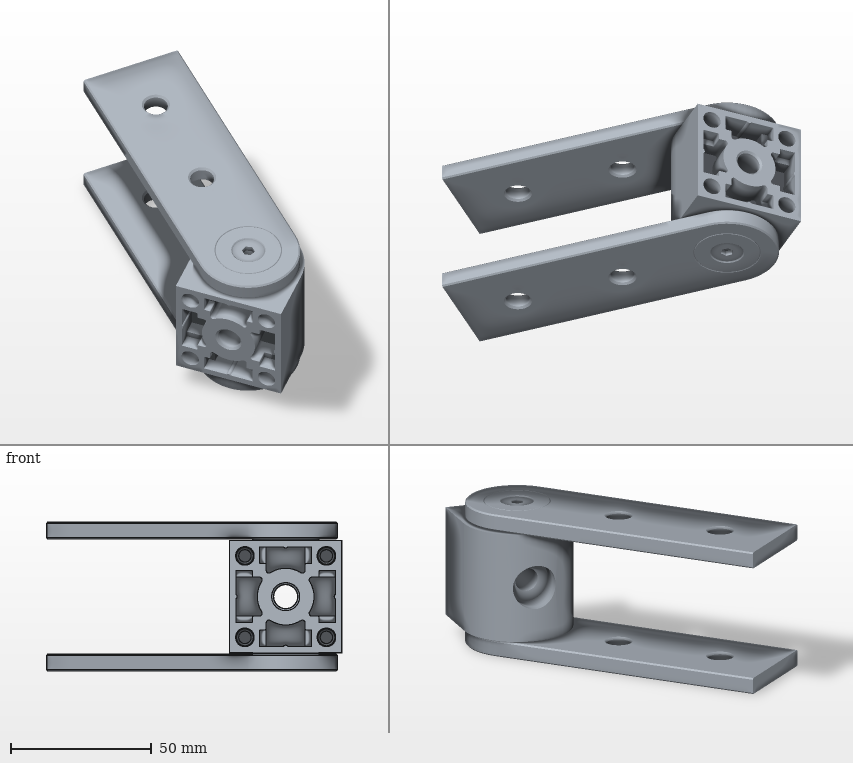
import cadquery as cq
import math


block_width = 40.0
overall_height = 52.8
plate_thickness = 6.0
block_half = block_width / 2
plate_top = overall_height / 2
plate_bottom = plate_top - plate_thickness
arm_angle = 135

plate_width = 36.9
plate_half_width = plate_width / 2
plate_reach = 101.6
plate_chamfer = 0.5
arm_hole_spacing = block_width
arm_hole_count = 2

bolt_bore = 8.5
bolt_bore_rim = 10.0

edge_tolerance = 0.1

hub_radius = 10.1
pocket_wall = 2.3
pocket_outer = block_half - pocket_wall
wing_half_width = 9.2
wing_height = 5.9
wing_depth = 5.0
core_half_width = 6.9
wing_corner_radius = 0.3
core_depth = block_width / 4
core_corner_radius = 1.0
rib_radius = 1.0
rib_height = 0.4
corner_hole_offset = 14.5
corner_hole_mouth = 6.6
corner_hole_end = 6.0
corner_hole_floor = 4.4
corner_hole_depth = 15.0
corner_hole_tip = 0.4
back_recess = 16.0
back_recess_floor = block_width / 4

disc_diameter = 23.6
disc_groove_mouth = 24.0
disc_groove_depth = (disc_groove_mouth - disc_diameter) / 2
bush_diameter = 12.6
countersink_mouth = 12.2
screw_head = 11.3
screw_shank = 6.0
screw_end = block_width / 4
socket_across_flats = 4.0
socket_depth = 2.0
socket_tip = 1.2
socket_sides = 6


def countersunk_bore(depth):
    """Bore along +Z from z = 0 to depth, with a 45-degree countersink at each end."""
    bore_radius = bolt_bore / 2
    rim_radius = bolt_bore_rim / 2
    sink = rim_radius - bore_radius
    profile = [
        (0, 0),
        (rim_radius, 0),
        (bore_radius, sink),
        (bore_radius, depth - sink),
        (rim_radius, depth),
        (0, depth),
    ]
    return cq.Workplane("XZ").polyline(profile).close().revolve(360, (0, 0), (0, 1))


def corner_zone(y, depth):
    """Selector for the upright edges at height y of a pocket of the given depth."""
    return cq.selectors.BoxSelector(
        (-block_half, y - edge_tolerance, 0),
        (block_half, y + edge_tolerance, depth),
    )



def block_body():
    """Square at the front, half round about the pivot axis at the back."""
    return (
        cq.Workplane("XY", origin=(0, 0, -block_half))
        .moveTo(-block_half, -block_half)
        .lineTo(block_half, -block_half)
        .lineTo(block_half, 0)
        .threePointArc((0, block_half), (-block_half, 0))
        .close()
        .extrude(block_width)
    )


def pocket():
    """T-shaped pocket cutting upward from z = 0, on the +Y side of the hub."""
    wings = (
        cq.Workplane("XY")
        .center(0, pocket_outer - wing_height / 2)
        .rect(2 * wing_half_width, wing_height)
        .extrude(wing_depth)
    )
    core = (
        cq.Workplane("XY")
        .center(0, pocket_outer / 2)
        .rect(2 * core_half_width, pocket_outer)
        .extrude(core_depth)
        .cut(cq.Workplane("XY").circle(hub_radius).extrude(core_depth))
    )
    hub_corner_y = math.sqrt(hub_radius**2 - core_half_width**2)
    core = core.edges("|Z").edges(corner_zone(hub_corner_y, core_depth)).fillet(core_corner_radius)
    rib = (
        cq.Workplane("XY")
        .center(0, pocket_outer + rib_radius - rib_height)
        .circle(rib_radius)
        .extrude(core_depth)
    )
    wing_corner_y = pocket_outer - wing_height
    opening = wings.union(core).edges("|Z").edges(corner_zone(wing_corner_y, wing_depth))
    return opening.fillet(wing_corner_radius).cut(rib)


def corner_hole():
    """Slightly tapered blind hole cutting upward from z = 0, with a conical end."""
    profile = [
        (0, 0),
        (corner_hole_mouth / 2, 0),
        (corner_hole_end / 2, corner_hole_depth - corner_hole_tip),
        (corner_hole_floor / 2, corner_hole_depth),
        (0, corner_hole_depth),
    ]
    hole = cq.Workplane("XZ").polyline(profile).close().revolve(360, (0, 0), (0, 1))
    return hole.translate((corner_hole_offset, corner_hole_offset, 0))


def face_cuts():
    """Everything cut into the front face, with the face at y = -block_half."""
    cuts = countersunk_bore(block_width)
    for quarter in range(4):
        turn = 90 * quarter
        cuts = cuts.union(pocket().rotate((0, 0, 0), (0, 0, 1), turn))
        cuts = cuts.union(corner_hole().rotate((0, 0, 0), (0, 0, 1), turn))
    return cuts.rotate((0, 0, 0), (1, 0, 0), -90).translate((0, -block_half, 0))


def make_block():
    recess = (
        cq.Workplane("XZ", origin=(0, back_recess_floor, 0))
        .circle(back_recess / 2)
        .extrude(-block_half)
    )
    body = block_body().cut(face_cuts()).cut(recess)
    for end in (1, -1):
        screw_hole = (
            cq.Workplane("XY", origin=(0, 0, end * screw_end))
            .circle(screw_shank / 2)
            .extrude(end * (block_half - screw_end))
        )
        body = body.cut(screw_hole)
    return body



def pivot_cylinder(diameter):
    """Cylinder on the pivot axis from the block to the top of the plate."""
    return (
        cq.Workplane("XY", origin=(0, 0, block_half))
        .circle(diameter / 2)
        .extrude(plate_top - block_half)
    )


def make_plate():
    """Arm with a round end about the pivot; the edges of its square end stay sharp."""
    plate = (
        cq.Workplane("XY", origin=(0, 0, plate_bottom))
        .moveTo(0, -plate_half_width)
        .lineTo(plate_reach, -plate_half_width)
        .lineTo(plate_reach, plate_half_width)
        .lineTo(0, plate_half_width)
        .threePointArc((-plate_half_width, 0), (0, -plate_half_width))
        .close()
        .extrude(plate_thickness)
    )
    plate = plate.faces("|Z").edges("not(>X)").chamfer(plate_chamfer)
    for step in range(1, arm_hole_count + 1):
        bore = countersunk_bore(plate_thickness)
        plate = plate.cut(bore.translate((step * arm_hole_spacing, 0, plate_bottom)))
    groove = (
        cq.Workplane("XY", origin=(0, 0, plate_top))
        .circle(disc_groove_mouth / 2)
        .workplane(offset=-disc_groove_depth)
        .circle(disc_diameter / 2)
        .loft()
    )
    plate = plate.cut(pivot_cylinder(disc_diameter)).cut(groove)
    return plate.rotate((0, 0, 0), (0, 0, 1), arm_angle)


def make_disc():
    """Pivot disc filling the plate's bore and bearing on the block."""
    disc = pivot_cylinder(disc_diameter).faces(">Z").chamfer(disc_groove_depth)
    return disc.cut(pivot_cylinder(bush_diameter))


def make_bush():
    """Bush whose 45-degree countersink holds the screw head just below its top."""
    mouth_radius = countersink_mouth / 2
    shank_radius = screw_shank / 2
    profile = [
        (0, plate_top),
        (mouth_radius, plate_top),
        (shank_radius, plate_top - (mouth_radius - shank_radius)),
        (shank_radius, block_half),
        (0, block_half),
    ]
    opening = cq.Workplane("XZ").polyline(profile).close().revolve(360, (0, 0), (0, 1))
    return pivot_cylinder(bush_diameter).cut(opening)


def make_screw():
    """Countersunk screw with a hexagon socket ending in a drill point."""
    head_radius = screw_head / 2
    shank_radius = screw_shank / 2
    head_top = plate_top - (countersink_mouth - screw_head) / 2
    profile = [
        (0, head_top),
        (head_radius, head_top),
        (shank_radius, head_top - (head_radius - shank_radius)),
        (shank_radius, screw_end),
        (0, screw_end),
    ]
    screw = cq.Workplane("XZ").polyline(profile).close().revolve(360, (0, 0), (0, 1))

    socket_floor = head_top - socket_depth
    socket = (
        cq.Workplane("XY", origin=(0, 0, socket_floor))
        .polygon(socket_sides, socket_across_flats / math.cos(math.pi / socket_sides))
        .extrude(socket_depth)
        .rotate((0, 0, 0), (0, 0, 1), arm_angle)
    )
    tip_profile = [
        (0, socket_floor),
        (socket_across_flats / 2, socket_floor),
        (0, socket_floor - socket_tip),
    ]
    tip = cq.Workplane("XZ").polyline(tip_profile).close().revolve(360, (0, 0), (0, 1))
    return screw.cut(socket).cut(tip)


block = make_block()
bodies = [block.val()]
for make_body in (make_plate, make_disc, make_bush, make_screw):
    upper = make_body()
    bodies += [upper.val(), upper.mirror("XY").val()]

result = cq.Compound.makeCompound(bodies)